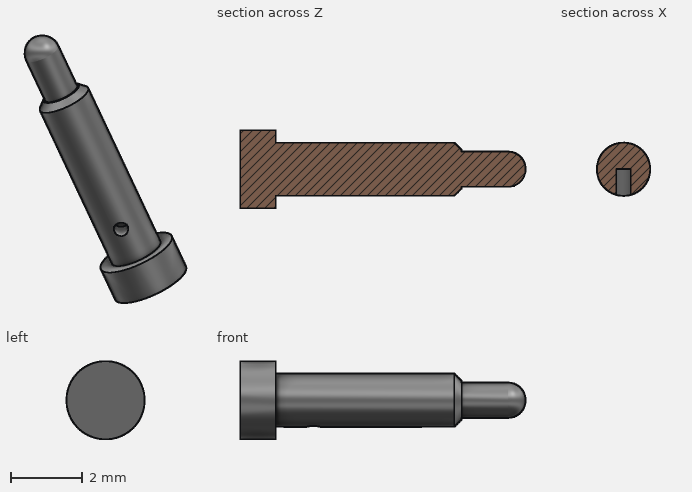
import cadquery as cq

overall_length = 8.0

head_diameter = 2.2
head_length = 1.0

barrel_diameter = 1.5
taper_start = 6.0
taper_size = 0.2

plunger_diameter = 1.0

vent_diameter = 0.4
vent_x = 2.05
vent_depth = barrel_diameter / 2

head_radius = head_diameter / 2
barrel_radius = barrel_diameter / 2
plunger_radius = plunger_diameter / 2
barrel_end = taper_start + taper_size
dome_start = overall_length - plunger_radius
dome_middle = plunger_radius * 0.5 ** 0.5


def turned_body():
    """Head, bevelled barrel and round-nosed plunger, revolved about X."""
    half_profile = (
        cq.Workplane("XY")
        .lineTo(0, head_radius)
        .lineTo(head_length, head_radius)
        .lineTo(head_length, barrel_radius)
        .lineTo(taper_start, barrel_radius)
        .lineTo(barrel_end, barrel_radius - taper_size)
        .lineTo(barrel_end, plunger_radius)
        .lineTo(dome_start, plunger_radius)
        .threePointArc((dome_start + dome_middle, dome_middle), (overall_length, 0))
        .close()
    )
    return half_profile.revolve(360, (0, 0, 0), (1, 0, 0))


def vent_hole():
    """Cutter for the vent, running up from the bottom of the barrel."""
    return (
        cq.Workplane("XY", origin=(vent_x, 0, -barrel_radius))
        .circle(vent_diameter / 2)
        .extrude(vent_depth)
    )


result = turned_body().cut(vent_hole())